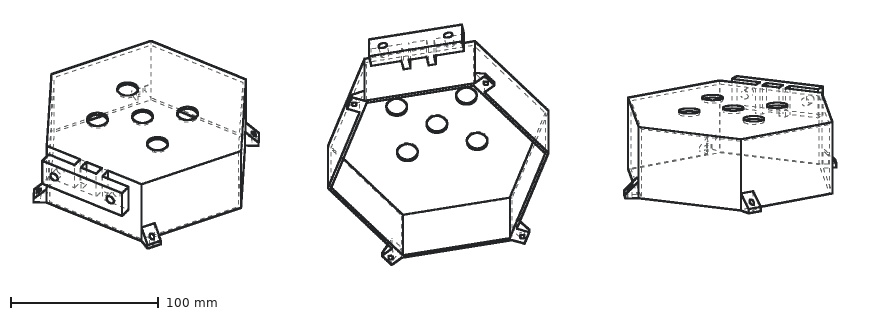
import cadquery as cq
import math

half_face_angle = 30

corner_radius = 76.0
height = 50.0
wall = 2.0
top_thickness = 2.0
apothem = corner_radius * math.cos(math.radians(half_face_angle))

opening_diameter = 14.0
opening_center_y = -4.7
opening_offset_x = 24.0
opening_offset_y = 19.0

tab_length = 9.0
tab_width = 10.0
tab_height = 12.0
tab_lip = 3.0
tab_hole_diameter = 3.0
tab_hole_reach = 5.6

plate_width = 64.0
plate_thickness = 8.0
plate_height = 20.0
plate_hole_diameter = 5.8
plate_hole_offset = 22.5
standoff_length = 7.0
standoff_width = 5.0
standoff_offset = 8.7


def hexagonal_prism(flat_distance, prism_height):
    """Hexagon with corners on the X axis, standing on Z = 0."""
    corner_diameter = 2 * flat_distance / math.cos(math.radians(half_face_angle))
    return cq.Workplane("XY").polygon(6, corner_diameter).extrude(prism_height)


def make_cover():
    cavity = hexagonal_prism(apothem - wall, height - top_thickness)
    cover = hexagonal_prism(apothem, height).cut(cavity)
    centers = [(0, opening_center_y)]
    for side_x in (-1, 1):
        for side_y in (-1, 1):
            center_x = side_x * opening_offset_x
            center_y = opening_center_y + side_y * opening_offset_y
            centers.append((center_x, center_y))
    openings = cq.Workplane("XY").pushPoints(centers).circle(opening_diameter / 2).extrude(height)
    return cover.cut(openings)


def make_tab():
    """Tab on the slanted face at +X +Y, flush with that face's upper corner."""
    tip = apothem + tab_length
    far_side = corner_radius / 2
    profile = [
        (apothem, 0),
        (tip, 0),
        (tip, tab_lip),
        (apothem, tab_height),
    ]
    tab = (
        cq.Workplane("XZ", origin=(0, far_side, 0))
        .polyline(profile)
        .close()
        .extrude(tab_width)
    )
    hole = (
        cq.Workplane("XY")
        .center(apothem + tab_hole_reach, far_side - tab_width / 2)
        .circle(tab_hole_diameter / 2)
        .extrude(tab_height)
    )
    return tab.cut(hole).rotate((0, 0, 0), (0, 0, 1), half_face_angle)


def make_plate_mount():
    plate_back = -apothem - standoff_length
    middle_z = height - plate_height / 2
    mount = cq.Workplane("XY").box(plate_width, plate_thickness, plate_height).translate(
        (0, plate_back - plate_thickness / 2, middle_z)
    )
    for side in (-1, 1):
        standoff = cq.Workplane("XY").box(standoff_width, standoff_length, plate_height)
        mount = mount.union(
            standoff.translate((side * standoff_offset, plate_back + standoff_length / 2, middle_z))
        )
    holes = (
        cq.Workplane("XZ", origin=(0, plate_back, middle_z))
        .pushPoints([(-plate_hole_offset, 0), (plate_hole_offset, 0)])
        .circle(plate_hole_diameter / 2)
        .extrude(plate_thickness)
    )
    return mount.cut(holes)


result = make_cover().union(make_plate_mount())
upper_right_tab = make_tab()
upper_left_tab = upper_right_tab.mirror("YZ")
for upper_tab in (upper_right_tab, upper_left_tab):
    result = result.union(upper_tab).union(upper_tab.mirror("XZ"))